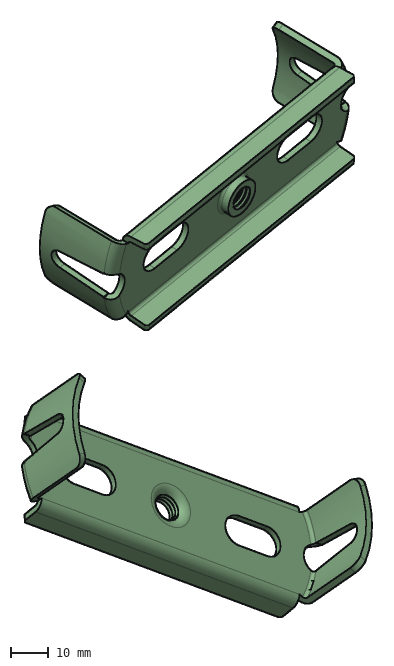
import cadquery as cq
import math

length = 98.0
sheet = 2.0
bend_inner = 1.0
bend_outer = bend_inner + sheet

web_length = 84.3
web_half_flat = 12.5
flange_reach = 8.4
flange_lean = 5.0
flange_corner = 1.0

arm_reach = 23.0
arm_radius = 32.6
arm_half_angle = 26.0
arm_corner = 2.9
foot_radius = 25.5
arm_axis_y = length / 2 - arm_radius

slot_length = 18.0
slot_width = 9.0
slot_spacing = 53.9
arm_slot_tip_radius = 2.9
arm_slot_tip_gap = 4.1
arm_slot_taper = 5.0
notch_end_y = 43.6

bore_diameter = 6.8
flare_radius = 3.0
flare_end = 1.7
thread_pitch = 1.3
thread_depth = 0.6
thread_count = 3
collar_diameter = 11.0
collar_end = 5.1
collar_fillet = 0.8


def polar(radius, degrees):
    angle = math.radians(degrees)
    return radius * math.cos(angle), radius * math.sin(angle)


def make_upper_flange():
    """Bend and leaning flange above the web, with rounded free corners."""
    lean_x, lean_z = polar(1, flange_lean)

    def on_bend(radius, degrees):
        dx, dz = polar(radius, degrees)
        return bend_outer + dx, web_half_flat + dz

    bend_end = 90 + flange_lean
    bend_middle = (180 + bend_end) / 2
    outer_start = on_bend(bend_outer, bend_end)
    inner_start = on_bend(bend_inner, bend_end)
    straight = (flange_reach - inner_start[0]) / lean_x
    outer_tip = (outer_start[0] + straight * lean_x, outer_start[1] + straight * lean_z)
    inner_tip = (inner_start[0] + straight * lean_x, inner_start[1] + straight * lean_z)
    flange = (
        cq.Workplane("XZ")
        .moveTo(0, web_half_flat)
        .threePointArc(on_bend(bend_outer, bend_middle), outer_start)
        .lineTo(*outer_tip)
        .lineTo(*inner_tip)
        .lineTo(*inner_start)
        .threePointArc(on_bend(bend_inner, bend_middle), (sheet, web_half_flat))
        .close()
        .extrude(web_length / 2, both=True)
    )
    tip_middle_x = (outer_tip[0] + inner_tip[0]) / 2
    tip_middle_z = (outer_tip[1] + inner_tip[1]) / 2
    for side in (-1, 1):
        corner = (tip_middle_x, side * web_length / 2, tip_middle_z)
        flange = flange.edges(cq.NearestToPointSelector(corner)).fillet(flange_corner)
    return flange


def make_web():
    web = cq.Workplane("XY").box(sheet, web_length, 2 * web_half_flat).translate((sheet / 2, 0, 0))
    flange = make_upper_flange()
    return web.union(flange).union(flange.mirror("XY"))


def make_arm():
    """Arm at the +Y end: an L-shaped section swept about the arm axis."""
    outer_y = length / 2
    inner_y = outer_y - sheet
    foot_y = arm_axis_y + foot_radius
    bend_y = outer_y - bend_outer
    inner_middle_x, inner_middle_y = polar(bend_inner, 45)
    outer_middle_x, outer_middle_y = polar(bend_outer, 45)
    arm = (
        cq.Workplane("XY")
        .moveTo(sheet, foot_y)
        .lineTo(sheet, bend_y)
        .threePointArc((-bend_inner + outer_middle_x, bend_y + outer_middle_y), (-bend_inner, outer_y))
        .lineTo(-arm_reach, outer_y)
        .lineTo(-arm_reach, inner_y)
        .lineTo(-bend_inner, inner_y)
        .threePointArc((-bend_inner + inner_middle_x, bend_y + inner_middle_y), (0, bend_y))
        .lineTo(0, foot_y)
        .close()
        .revolve(2 * arm_half_angle, (0, arm_axis_y), (1, arm_axis_y))
        .rotate((0, arm_axis_y, 0), (1, arm_axis_y, 0), -arm_half_angle)
    )
    return arm.faces("<X").edges("%LINE").fillet(arm_corner)


def make_arm_opening():
    """Tapered slot through the arm, running into a round notch through the bend and web."""
    tip_center_x = -arm_reach + arm_slot_tip_gap + arm_slot_tip_radius
    tangent_dx, tangent_z = polar(arm_slot_tip_radius, 90 + arm_slot_taper)
    tangent_x = tip_center_x + tangent_dx
    wide_half = tangent_z + (-bend_inner - tangent_x) * math.tan(math.radians(arm_slot_taper))
    depth = length / 2 - notch_end_y
    slot = (
        cq.Workplane("XZ", origin=(0, length / 2, 0))
        .moveTo(-bend_inner, wide_half)
        .lineTo(tangent_x, tangent_z)
        .threePointArc((tip_center_x - arm_slot_tip_radius, 0), (tangent_x, -tangent_z))
        .lineTo(-bend_inner, -wide_half)
        .close()
        .extrude(depth)
    )
    notch = (
        cq.Workplane("YZ", origin=(-bend_inner, notch_end_y + slot_width / 2, 0))
        .circle(slot_width / 2)
        .extrude(bend_inner + sheet)
    )
    return slot.union(notch)


def make_collar():
    collar_radius = collar_diameter / 2
    base_radius = collar_radius + collar_fillet
    fillet_middle = collar_fillet * (1 - math.sqrt(0.5))
    return (
        cq.Workplane("XY")
        .moveTo(0, 0)
        .lineTo(0, base_radius)
        .lineTo(sheet, base_radius)
        .threePointArc(
            (sheet + fillet_middle, collar_radius + fillet_middle),
            (sheet + collar_fillet, collar_radius),
        )
        .lineTo(collar_end, collar_radius)
        .lineTo(collar_end, 0)
        .close()
        .revolve(360, (0, 0), (1, 0))
    )


def make_bore():
    """Bore with a convex flare at its -X mouth, followed by V-shaped thread rings."""
    bore_radius = bore_diameter / 2

    def flare_point(depth):
        drop = math.sqrt(flare_radius**2 - (flare_radius - depth) ** 2)
        return depth, bore_radius + flare_radius - drop

    bore = (
        cq.Workplane("XY")
        .moveTo(0, 0)
        .lineTo(*flare_point(0))
        .threePointArc(flare_point(flare_end / 2), flare_point(flare_end))
    )
    for ring in range(thread_count):
        crest_x = collar_end - (thread_count - 1 - ring) * thread_pitch
        bore = bore.lineTo(crest_x - thread_pitch / 2, bore_radius + thread_depth)
        bore = bore.lineTo(crest_x, bore_radius)
    return bore.lineTo(collar_end, 0).close().revolve(360, (0, 0), (1, 0))


arm = make_arm()
opening = make_arm_opening()
web_slots = (
    cq.Workplane("YZ")
    .pushPoints([(-slot_spacing / 2, 0), (slot_spacing / 2, 0)])
    .slot2D(slot_length, slot_width)
    .extrude(sheet)
)

result = make_web().union(arm).union(arm.mirror("XZ")).union(make_collar())
result = result.cut(opening).cut(opening.mirror("XZ")).cut(web_slots).cut(make_bore())